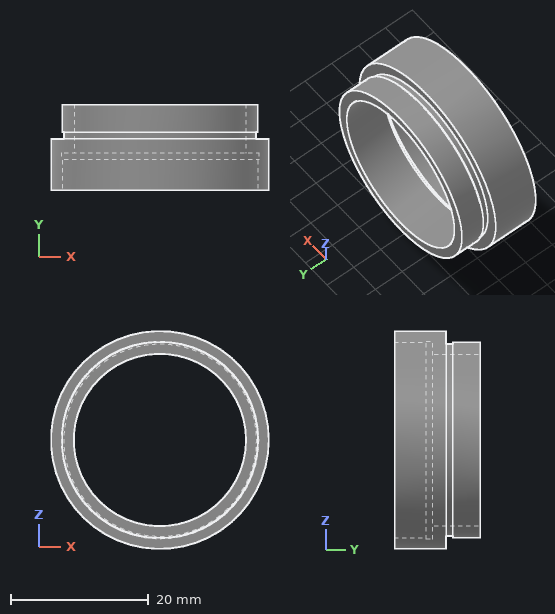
import cadquery as cq

outer_diameter = 31.7
total_length = 12.5
bore_diameter = 25.0

spigot_diameter = 28.5
spigot_length = 4.0
groove_diameter = 28.0
groove_width = 1.0
collar_length = total_length - spigot_length - groove_width

socket_diameter = spigot_diameter
socket_depth = 5.5
relief_diameter = 28.7
relief_width = groove_width


def cylinder(diameter, start, length):
    """Solid cylinder along +Y whose first face lies at y = start."""
    plane = cq.Plane(origin=(0, start, 0), xDir=(1, 0, 0), normal=(0, 1, 0))
    return cq.Workplane(plane).circle(diameter / 2).extrude(length)


collar = cylinder(outer_diameter, 0, collar_length)
groove_core = cylinder(groove_diameter, collar_length, groove_width)
spigot = cylinder(spigot_diameter, collar_length + groove_width, spigot_length)
body = collar.union(groove_core).union(spigot)

bore = cylinder(bore_diameter, 0, total_length)
socket = cylinder(socket_diameter, 0, socket_depth)
relief = cylinder(relief_diameter, socket_depth - relief_width, relief_width)

result = body.cut(bore).cut(socket).cut(relief)